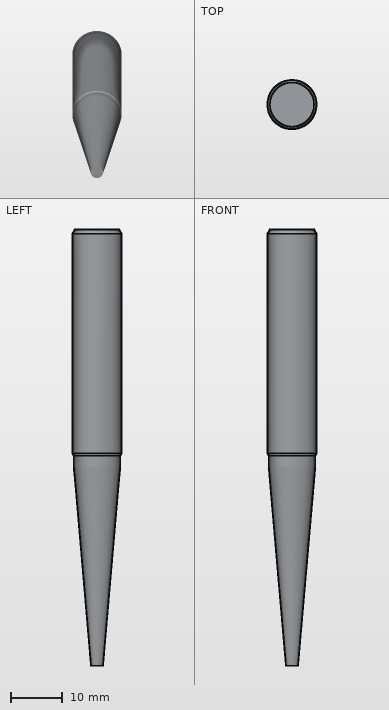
import cadquery as cq

total_length = 84.1
shank_radius = 4.75
bottom_z = -total_length / 2
top_z = bottom_z + total_length

shank_length = 43.65
top_chamfer_width = 0.5
top_chamfer_height = 0.8
lower_chamfer_height = 0.5
joint_z = top_z - shank_length

collar_radius = 4.5
collar_length = 2.2
tip_radius = 1.2
cone_top_z = joint_z - collar_length


def revolve_profile(points):
    """Turn a closed (radius, height) outline into a solid about the Z axis."""
    return cq.Workplane("XZ").polyline(points).close().revolve(360, (0, 0, 0), (0, 1, 0))


def make_shank():
    """Round shank whose lower chamfer narrows to the collar of the point."""
    return revolve_profile([
        (0, joint_z),
        (collar_radius, joint_z),
        (shank_radius, joint_z + lower_chamfer_height),
        (shank_radius, top_z - top_chamfer_height),
        (shank_radius - top_chamfer_width, top_z),
        (0, top_z),
    ])


def make_point():
    """Collar and flat-ended cone, butted against the lower face of the shank."""
    return revolve_profile([
        (0, bottom_z),
        (tip_radius, bottom_z),
        (collar_radius, cone_top_z),
        (collar_radius, joint_z),
        (0, joint_z),
    ])


shank = make_shank()
point = make_point()

result = cq.Compound.makeCompound([shank.val(), point.val()])